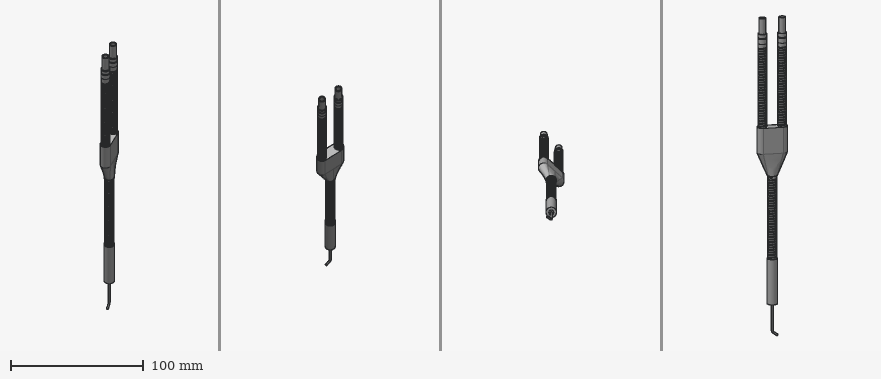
import cadquery as cq
import math

TOTAL_HEIGHT = 251.4
COLLAR_TOP_Z = 239.0
COLLAR_BOTTOM_Z = 231.5
JUNCTION_TOP_Z = 165.5
TAPER_TOP_Z = 145.0
JUNCTION_BOTTOM_Z = 127.0
SLEEVE_TOP_Z = 61.3
SLEEVE_BOTTOM_Z = 25.6

BODY_DIAMETER = 8.0
JUNCTION_WIDTH = 23.5
BRANCH_SPACING = JUNCTION_WIDTH - BODY_DIAMETER
BRANCH_POSITIONS = (-BRANCH_SPACING / 2, BRANCH_SPACING / 2)

TUBE_DIAMETER = 5.3
BORE_DIAMETER = 3.5
COLLAR_DIAMETER = 6.8
COLLAR_GROOVE_TOP_Z = 236.0
COLLAR_GROOVE_WIDTH = 0.8
COLLAR_GROOVE_DEPTH = 0.3

HOSE_DIAMETER = COLLAR_DIAMETER
GROOVE_PITCH = 2.04
GROOVE_WIDTH = 0.8
GROOVE_DEPTH = 0.3
GROOVE_RUN_OUT = 1.5
CUT_OVERSHOOT = 0.3
BRANCH_PLAIN_LENGTH = 3.3
MAIN_PLAIN_LENGTH = 1.0

BOSS_DIAMETER = 3.8
BOSS_HEIGHT = 0.8
WIRE_DIAMETER = 1.5
TIP_REACH = 4.0
BEND_RADIUS = 1.8
BEND_ANGLE = 55.0


def cylinder(diameter, bottom_z, top_z, y=0.0):
    """Upright cylinder centred at X = 0 and the given Y."""
    return (
        cq.Workplane("XY", origin=(0, y, bottom_z))
        .circle(diameter / 2)
        .extrude(top_z - bottom_z)
    )


def make_connector(y):
    """Bored tube with a wider collar that carries a shallow ring groove."""
    tube = cylinder(TUBE_DIAMETER, COLLAR_TOP_Z, TOTAL_HEIGHT, y)
    collar = cylinder(COLLAR_DIAMETER, COLLAR_BOTTOM_Z, COLLAR_TOP_Z, y)
    groove_bottom_z = COLLAR_GROOVE_TOP_Z - COLLAR_GROOVE_WIDTH
    groove_floor = COLLAR_DIAMETER - 2 * COLLAR_GROOVE_DEPTH
    groove = cylinder(COLLAR_DIAMETER, groove_bottom_z, COLLAR_GROOVE_TOP_Z, y).cut(
        cylinder(groove_floor, groove_bottom_z, COLLAR_GROOVE_TOP_Z, y)
    )
    bore = cylinder(BORE_DIAMETER, COLLAR_TOP_Z, TOTAL_HEIGHT, y)
    return tube.union(collar).cut(groove).cut(bore)


def make_helical_cutter(bottom_z, top_z):
    """Square-sided strip wound around the Z axis as a right-hand helix."""
    radius = HOSE_DIAMETER / 2
    strip_depth = GROOVE_DEPTH + CUT_OVERSHOOT
    helix = cq.Wire.makeHelix(GROOVE_PITCH, top_z - bottom_z, radius)
    profile = (
        cq.Workplane("XZ")
        .center(radius - GROOVE_DEPTH + strip_depth / 2, 0)
        .rect(strip_depth, GROOVE_WIDTH)
    )
    return profile.sweep(cq.Workplane(obj=helix), isFrenet=True).translate((0, 0, bottom_z))


def make_hose(bottom_z, top_z, plain_length):
    """Hose with a plain top length; below it a helical groove runs out through the bottom end."""
    hose = cylinder(HOSE_DIAMETER, bottom_z, top_z)
    return hose.cut(make_helical_cutter(bottom_z - GROOVE_RUN_OUT, top_z - plain_length))


def make_junction():
    """Slot-shaped block that tapers to a round end at the bottom."""
    block = (
        cq.Workplane("XY", origin=(0, 0, TAPER_TOP_Z))
        .slot2D(JUNCTION_WIDTH, BODY_DIAMETER, 90)
        .extrude(JUNCTION_TOP_Z - TAPER_TOP_Z)
    )
    taper = (
        cq.Workplane("XY", origin=(0, 0, TAPER_TOP_Z))
        .slot2D(JUNCTION_WIDTH, BODY_DIAMETER, 90)
        .workplane(offset=JUNCTION_BOTTOM_Z - TAPER_TOP_Z)
        .circle(BODY_DIAMETER / 2)
        .loft(combine=True)
    )
    return block.union(taper)


def make_sleeve():
    """Plain sleeve with a low boss where the wire leaves it."""
    sleeve = cylinder(BODY_DIAMETER, SLEEVE_BOTTOM_Z, SLEEVE_TOP_Z)
    boss = cylinder(BOSS_DIAMETER, SLEEVE_BOTTOM_Z - BOSS_HEIGHT, SLEEVE_BOTTOM_Z)
    return sleeve.union(boss)


def make_wire():
    """Straight wire with a rounded bend and a short tip that slopes down toward -Y."""
    start_z = SLEEVE_BOTTOM_Z - BOSS_HEIGHT
    bend = math.radians(BEND_ANGLE)
    bend_reach = BEND_RADIUS * (1 - math.cos(bend))
    bend_drop = BEND_RADIUS * math.sin(bend)
    tip_drop = (TIP_REACH - bend_reach) / math.tan(bend)

    tip_z = WIRE_DIAMETER / 2 * math.sin(bend)
    bend_top_z = tip_z + tip_drop + bend_drop

    middle_reach = BEND_RADIUS * (1 - math.cos(bend / 2))
    middle_drop = BEND_RADIUS * math.sin(bend / 2)
    path = (
        cq.Workplane("YZ")
        .moveTo(0, start_z)
        .lineTo(0, bend_top_z)
        .threePointArc((-middle_reach, bend_top_z - middle_drop), (-bend_reach, bend_top_z - bend_drop))
        .lineTo(-TIP_REACH, tip_z)
    )
    return cq.Workplane("XY", origin=(0, 0, start_z)).circle(WIRE_DIAMETER / 2).sweep(path)


connectors = [make_connector(y) for y in BRANCH_POSITIONS]
branch_hose = make_hose(JUNCTION_TOP_Z, COLLAR_BOTTOM_Z, BRANCH_PLAIN_LENGTH)
branch_hoses = [branch_hose.translate((0, y, 0)) for y in BRANCH_POSITIONS]
junction = make_junction()
main_hose = make_hose(SLEEVE_TOP_Z, JUNCTION_BOTTOM_Z, MAIN_PLAIN_LENGTH)
sleeve = make_sleeve()
wire = make_wire()

bodies = [*connectors, *branch_hoses, junction, main_hose, sleeve, wire]
result = cq.Compound.makeCompound([body.val() for body in bodies])